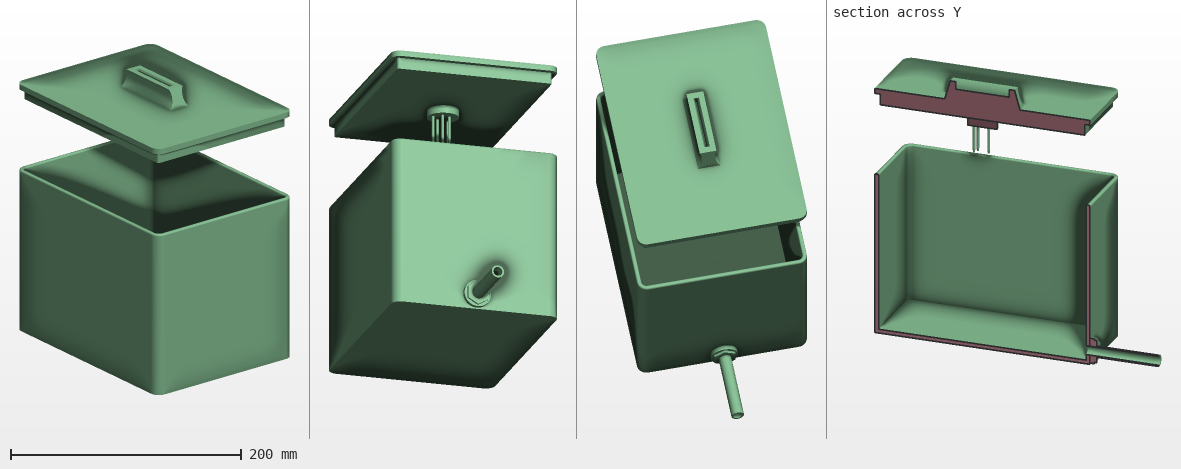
import cadquery as cq

TANK_LENGTH = 200.0
TANK_WIDTH = 150.0
TANK_HEIGHT = 150.0
CORNER_RADIUS = 8.5
WALL = 4.0
INNER_CORNER_RADIUS = CORNER_RADIUS - WALL
CAVITY_LENGTH = TANK_LENGTH - 2 * WALL
CAVITY_WIDTH = TANK_WIDTH - 2 * WALL
RIM_FILLET = 1.5

OVERALL_HEIGHT = 248.0
PLATE_THICKNESS = 5.0
PLUG_DEPTH = 10.0
HANDLE_HEIGHT = 17.7
PLUG_INSET = 5.0
PLUG_CORNER_RADIUS = 2.0
PLUG_LENGTH = TANK_LENGTH - 2 * PLUG_INSET
PLUG_WIDTH = TANK_WIDTH - 2 * PLUG_INSET
LID_TOP = OVERALL_HEIGHT - HANDLE_HEIGHT
PLATE_BOTTOM = LID_TOP - PLATE_THICKNESS
PLUG_BOTTOM = PLATE_BOTTOM - PLUG_DEPTH

HANDLE_BASE_LENGTH = 70.2
HANDLE_TOP_LENGTH = 60.0
HANDLE_BASE_WIDTH = 19.8
HANDLE_TOP_WIDTH = 14.8
HANDLE_WAIST_WIDTH = 11.4
HANDLE_WAIST_DROP = 7.0
GROOVE_LENGTH = 49.0
GROOVE_TOP_WIDTH = 5.0
GROOVE_FLOOR_WIDTH = 1.0

PROBE_DIAMETER = 28.0
PROBE_THICKNESS = 6.9
PIN_DIAMETER = 2.5
PIN_LENGTH = 25.3
PIN_TIP_LENGTH = 3.0
PIN_TIP_DIAMETER = 1.5
PIN_CENTRES = [(-6.9, 2.5), (-4.2, -4.5), (-1.0, 9.2), (5.3, 3.5), (6.5, -6.3), (8.7, -2.5)]
PROBE_BOTTOM = PLUG_BOTTOM - PROBE_THICKNESS

FLANGE_DIAMETER = 24.0
FLANGE_THICKNESS = 4.0
FLANGE_CLEARANCE = 1.14
FITTING_HEIGHT = FLANGE_DIAMETER / 2 + FLANGE_CLEARANCE
HEX_ACROSS_CORNERS = 21.5
HEX_THICKNESS = 2.0
SPIGOT_DIAMETER = 11.0
BORE_DIAMETER = 8.0
OVERALL_LENGTH = 264.0
FITTING_LENGTH = OVERALL_LENGTH - TANK_LENGTH
WALL_FACE_X = -TANK_LENGTH / 2


def rounded_block(length, width, height, radius, bottom):
    return (
        cq.Workplane("XY", origin=(0, 0, bottom))
        .rect(length, width)
        .extrude(height)
        .edges("|Z")
        .fillet(radius)
    )


def rod_along_minus_x(diameter, length, start_x):
    return (
        cq.Workplane("YZ", origin=(start_x, 0, FITTING_HEIGHT))
        .circle(diameter / 2)
        .extrude(-length)
    )


def make_tank():
    outside = rounded_block(TANK_LENGTH, TANK_WIDTH, TANK_HEIGHT, CORNER_RADIUS, 0)
    cavity = rounded_block(CAVITY_LENGTH, CAVITY_WIDTH, TANK_HEIGHT, INNER_CORNER_RADIUS, WALL)
    tank = outside.cut(cavity).faces(">Z").edges().fillet(RIM_FILLET)
    port = rod_along_minus_x(BORE_DIAMETER, WALL, WALL_FACE_X + WALL)
    return tank.cut(port)


def make_grip_groove():
    side_run = (GROOVE_TOP_WIDTH - GROOVE_FLOOR_WIDTH) / 2
    side_radius = (side_run**2 + HANDLE_WAIST_DROP**2) / (2 * side_run)
    return (
        cq.Workplane("YZ", origin=(-GROOVE_LENGTH / 2, 0, OVERALL_HEIGHT))
        .moveTo(-GROOVE_FLOOR_WIDTH / 2, -HANDLE_WAIST_DROP)
        .lineTo(GROOVE_FLOOR_WIDTH / 2, -HANDLE_WAIST_DROP)
        .radiusArc((GROOVE_TOP_WIDTH / 2, 0), side_radius)
        .lineTo(-GROOVE_TOP_WIDTH / 2, 0)
        .radiusArc((-GROOVE_FLOOR_WIDTH / 2, -HANDLE_WAIST_DROP), side_radius)
        .close()
        .extrude(GROOVE_LENGTH)
    )


def make_handle():
    waist_height = HANDLE_HEIGHT - HANDLE_WAIST_DROP
    hollowed_bar = (
        cq.Workplane("YZ", origin=(-HANDLE_BASE_LENGTH / 2, 0, LID_TOP))
        .moveTo(-HANDLE_BASE_WIDTH / 2, 0)
        .lineTo(HANDLE_BASE_WIDTH / 2, 0)
        .threePointArc((HANDLE_WAIST_WIDTH / 2, waist_height), (HANDLE_TOP_WIDTH / 2, HANDLE_HEIGHT))
        .lineTo(-HANDLE_TOP_WIDTH / 2, HANDLE_HEIGHT)
        .threePointArc((-HANDLE_WAIST_WIDTH / 2, waist_height), (-HANDLE_BASE_WIDTH / 2, 0))
        .close()
        .extrude(HANDLE_BASE_LENGTH)
    )
    sloped_ends = (
        cq.Workplane("XZ", origin=(0, HANDLE_BASE_WIDTH / 2, LID_TOP))
        .polyline(
            [
                (-HANDLE_BASE_LENGTH / 2, 0),
                (HANDLE_BASE_LENGTH / 2, 0),
                (HANDLE_TOP_LENGTH / 2, HANDLE_HEIGHT),
                (-HANDLE_TOP_LENGTH / 2, HANDLE_HEIGHT),
            ]
        )
        .close()
        .extrude(HANDLE_BASE_WIDTH)
    )
    return hollowed_bar.intersect(sloped_ends).cut(make_grip_groove())


def make_lid():
    plate = rounded_block(TANK_LENGTH, TANK_WIDTH, PLATE_THICKNESS, CORNER_RADIUS, PLATE_BOTTOM)
    plug = rounded_block(PLUG_LENGTH, PLUG_WIDTH, PLUG_DEPTH, PLUG_CORNER_RADIUS, PLUG_BOTTOM)
    return plate.union(plug).union(make_handle())


def make_probe():
    probe = (
        cq.Workplane("XY", origin=(0, 0, PROBE_BOTTOM))
        .circle(PROBE_DIAMETER / 2)
        .extrude(PROBE_THICKNESS)
    )
    shank_length = PIN_LENGTH - PIN_TIP_LENGTH
    for x, y in PIN_CENTRES:
        shank = (
            cq.Workplane("XY", origin=(x, y, PROBE_BOTTOM))
            .circle(PIN_DIAMETER / 2)
            .extrude(-shank_length)
        )
        tip = (
            cq.Workplane("XY", origin=(x, y, PROBE_BOTTOM - shank_length))
            .circle(PIN_DIAMETER / 2)
            .workplane(offset=-PIN_TIP_LENGTH)
            .circle(PIN_TIP_DIAMETER / 2)
            .loft()
        )
        probe = probe.union(shank).union(tip)
    return probe


def make_fitting():
    flange = rod_along_minus_x(FLANGE_DIAMETER, FLANGE_THICKNESS, WALL_FACE_X)
    hexagon = (
        cq.Workplane("YZ", origin=(WALL_FACE_X - FLANGE_THICKNESS, 0, FITTING_HEIGHT))
        .transformed(rotate=(0, 0, 90))
        .polygon(6, HEX_ACROSS_CORNERS)
        .extrude(-HEX_THICKNESS)
    )
    spigot = rod_along_minus_x(SPIGOT_DIAMETER, FITTING_LENGTH, WALL_FACE_X)
    bore = rod_along_minus_x(BORE_DIAMETER, FITTING_LENGTH, WALL_FACE_X)
    return flange.union(hexagon).union(spigot).cut(bore)


tank = make_tank()
lid = make_lid()
probe = make_probe()
fitting = make_fitting()
result = cq.Compound.makeCompound([tank.val(), lid.val(), probe.val(), fitting.val()])